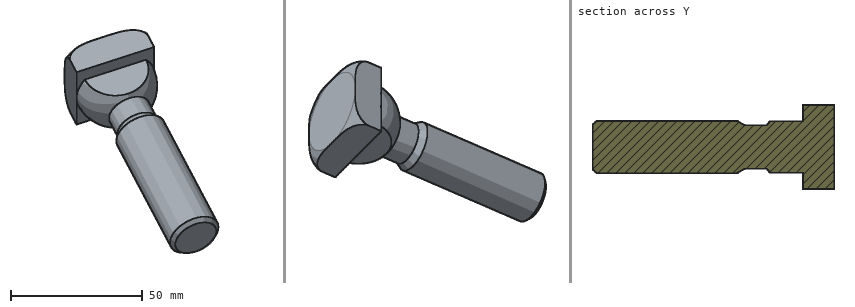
import cadquery as cq
import math

OVERALL_LENGTH = 92.0

HEAD_WIDTH = 32.0
HEAD_THICKNESS = 12.0
HEAD_FACE_RADIUS = HEAD_WIDTH / 2
CORNER_ROUNDING = 6.7

BALL_RADIUS = HEAD_WIDTH / 2
BALL_FLAT_HEIGHT = 19.7

SHANK_DIAMETER = 20.0
NECK_DIAMETER = 16.6
NECK_END = 34.0
CONE_ANGLE = 30.0
TIP_CHAMFER = 1.55


def make_head():
    """Square block whose corners are rounded off towards the outer face, about the X axis."""
    block = cq.Workplane("YZ").rect(HEAD_WIDTH, HEAD_WIDTH).extrude(HEAD_THICKNESS)
    outer_radius = HEAD_FACE_RADIUS + CORNER_ROUNDING
    arc_middle = (
        CORNER_ROUNDING * (1 - math.sqrt(0.5)),
        HEAD_FACE_RADIUS + CORNER_ROUNDING * math.sqrt(0.5),
    )
    envelope = (
        cq.Workplane("XY")
        .lineTo(0, HEAD_FACE_RADIUS)
        .threePointArc(arc_middle, (CORNER_ROUNDING, outer_radius))
        .lineTo(HEAD_THICKNESS, outer_radius)
        .lineTo(HEAD_THICKNESS, 0)
        .close()
        .revolve(360, (0, 0, 0), (1, 0, 0))
    )
    return block.intersect(envelope)


def make_ball():
    """Half ball centred on the back of the head, cut flat at the top and bottom."""
    ball = cq.Workplane("XY").sphere(BALL_RADIUS)
    flats = cq.Workplane("XY").box(
        BALL_RADIUS, 2 * BALL_RADIUS, BALL_FLAT_HEIGHT, centered=(False, True, True)
    )
    return ball.intersect(flats).translate((HEAD_THICKNESS, 0, 0))


def make_shank():
    """Neck, cone and cylinder with a chamfered tip, turned about the X axis."""
    neck_radius = NECK_DIAMETER / 2
    shank_radius = SHANK_DIAMETER / 2
    cone_length = (shank_radius - neck_radius) / math.tan(math.radians(CONE_ANGLE))
    return (
        cq.Workplane("XY")
        .moveTo(HEAD_THICKNESS, 0)
        .lineTo(HEAD_THICKNESS, neck_radius)
        .lineTo(NECK_END, neck_radius)
        .lineTo(NECK_END + cone_length, shank_radius)
        .lineTo(OVERALL_LENGTH - TIP_CHAMFER, shank_radius)
        .lineTo(OVERALL_LENGTH, shank_radius - TIP_CHAMFER)
        .lineTo(OVERALL_LENGTH, 0)
        .close()
        .revolve(360, (0, 0, 0), (1, 0, 0))
    )


result = make_head().union(make_ball()).union(make_shank())